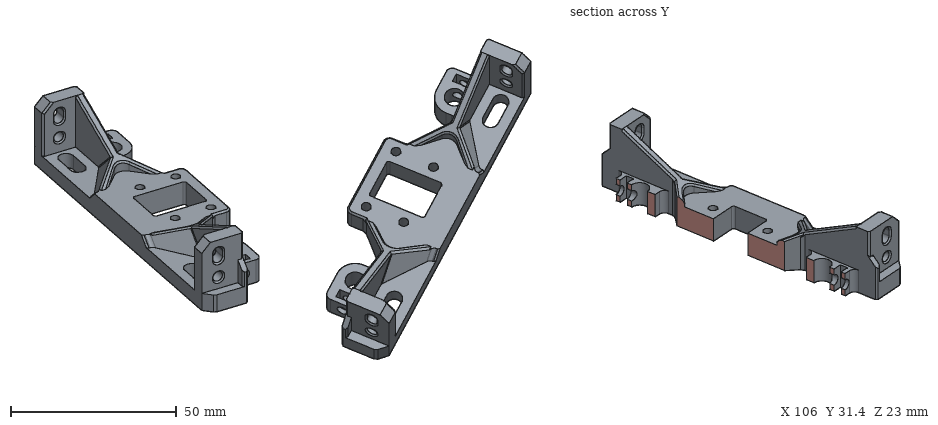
import cadquery as cq
import math

HALF_LENGTH = 53.0
DEPTH = 31.38
HEIGHT = 23.0
FLOOR_Z = 5.0
PLATE_Z = 8.0
EDGE_CHAMFER = 0.6
EDGE_TOLERANCE = 0.1

END_STEP = 3.0
WALL_OUTER_X = -HALF_LENGTH + END_STEP
WALL_THICKNESS = 5.0
WALL_INNER_X = WALL_OUTER_X + WALL_THICKNESS
WALL_BACK_Y = 14.5
WALL_CHAMFER = 3.0
STEP_Z = 6.0
LUG_FRONT_Y = 12.6
LUG_TOP_Z = 14.0

WALL_HOLE_DIA = 3.3
WALL_HOLE_Y = 5.85
WALL_HOLE_Z = 10.0
WALL_SLOT_Z = 17.5
WALL_SLOT_LENGTH = 5.3
WALL_HOLE_CHAMFER = 0.5

RIDGE_THICKNESS = 3.0
RIDGE_FRONT_Y = WALL_BACK_Y - RIDGE_THICKNESS
RIDGE_END_X = -14.6
RIDGE_SLOPE = (HEIGHT - PLATE_Z) / (RIDGE_END_X - WALL_INNER_X)
FLANK_BACK_X = -31.2
FLANK_FOOT_X = -17.5
FLANK_CORNER_Y = 1.8
FLANK_RADIUS = 2.0
FLANK_SLOPE = (RIDGE_FRONT_Y - FLANK_CORNER_Y) / (FLANK_FOOT_X - FLANK_BACK_X)
FLANK_OVERLAP = 1.5
FLANK_ROOT_CHAMFER = 0.25

PLATE_HALF_WIDTH = 14.5
PLATE_CORNER_RADIUS = 2.0
PLATE_DIAGONAL_Y = 24.65
CONCAVE_CHAMFER = 0.8
POCKET_MID_Y = 13.15
POCKET_APEX_X = -22.9
POCKET_RADIUS = 3.6
POCKET_CHAMFER = 0.5
WINDOW_WIDTH = 13.2
WINDOW_FRONT_Y = 8.9
WINDOW_BACK_Y = 27.3
WINDOW_RADIUS = 0.8
PLATE_HOLE_DIA = 2.9
PLATE_HOLE_X = 10.5
PLATE_HOLE_YS = (13.8, 26.3)

FLOOR_SLOT_X = -37.5
FLOOR_SLOT_Y = 5.85
FLOOR_SLOT_LENGTH = 12.0
FLOOR_SLOT_WIDTH = 5.0

EAR_OUTER_X = -44.0
EAR_INNER_X = -29.0
EAR_BACK_Y = 24.4
EAR_OUTER_RADIUS = 2.0
EAR_INNER_RADIUS = 6.0
EAR_ROOT_RADIUS = 2.0
ROD_DIA = 6.0
ROD_X = -35.0
ROD_Y = 18.4
NUT_SLOT_X = -41.1
NUT_SLOT_SIZE = (2.7, 5.8)
CLAMP_SCREW_DIA = 3.5
CLAMP_SCREW_Z = PLATE_Z / 2


def point_edge(x, y, z):
    """Selector for the edge whose middle is closest to a point."""
    return cq.selectors.NearestToPointSelector((x, y, z))


def prism(points, height, base_z=0.0):
    return cq.Workplane("XY").workplane(offset=base_z).polyline(points).close().extrude(height)


def side_profile(points, front_y, back_y):
    """Extrude an XZ outline between two Y positions."""
    plane = cq.Workplane("XZ", origin=(0, front_y, 0))
    return plane.polyline(points).close().extrude(front_y - back_y)


def block(x_range, y_range, z_range):
    """Box between two corners given as coordinate ranges."""
    (x0, x1), (y0, y1), (z0, z1) = x_range, y_range, z_range
    return cq.Workplane("XY").box(x1 - x0, y1 - y0, z1 - z0, centered=False).translate((x0, y0, z0))


def floor_and_wall():
    """Floor slab and end wall, with the outer step and the lug at its back corner."""
    diagonal = EDGE_CHAMFER / math.sqrt(2)
    body = prism(
        [
            (0, 0),
            (WALL_OUTER_X, 0),
            (-HALF_LENGTH + diagonal, END_STEP - diagonal),
            (-HALF_LENGTH, END_STEP + EDGE_CHAMFER),
            (-HALF_LENGTH, WALL_BACK_Y - EDGE_CHAMFER),
            (-HALF_LENGTH + EDGE_CHAMFER, WALL_BACK_Y),
            (0, WALL_BACK_Y),
        ],
        HEIGHT,
    )
    body = body.cut(block((WALL_INNER_X, 0), (0, WALL_BACK_Y), (FLOOR_Z, HEIGHT)))
    body = body.cut(block((-HALF_LENGTH, WALL_OUTER_X), (0, LUG_FRONT_Y), (STEP_Z, HEIGHT)))
    body = body.cut(lug_trim())
    body = body.faces("<Y").edges(">Z").chamfer(WALL_CHAMFER)

    inner_front_edges = cq.selectors.BoxSelector(
        (WALL_INNER_X - EDGE_TOLERANCE, -EDGE_TOLERANCE, FLOOR_Z + EDGE_TOLERANCE),
        (WALL_INNER_X + EDGE_TOLERANCE, WALL_CHAMFER, HEIGHT),
    )
    outer_back_edge = point_edge(WALL_OUTER_X, WALL_BACK_Y, (LUG_TOP_Z + HEIGHT) / 2)
    body = body.edges(inner_front_edges).chamfer(EDGE_CHAMFER)
    return body.edges(outer_back_edge).chamfer(EDGE_CHAMFER)


def lug_trim():
    """Material removed from the lug: above its sloping top and along its front edge."""
    slope = side_profile(
        [
            (WALL_OUTER_X, LUG_TOP_Z),
            (-HALF_LENGTH, LUG_TOP_Z - END_STEP),
            (-HALF_LENGTH, HEIGHT),
            (WALL_OUTER_X, HEIGHT),
        ],
        0,
        WALL_BACK_Y,
    )
    front_bevel = prism(
        [
            (-HALF_LENGTH, LUG_FRONT_Y),
            (-HALF_LENGTH + EDGE_CHAMFER, LUG_FRONT_Y),
            (-HALF_LENGTH, LUG_FRONT_Y + EDGE_CHAMFER),
        ],
        HEIGHT,
        STEP_Z,
    )
    return slope.union(front_bevel)


def roof():
    """Everything below the plate top and the sloping ridge line."""
    points = [
        (0, 0),
        (0, PLATE_Z),
        (RIDGE_END_X, PLATE_Z),
        (WALL_INNER_X, HEIGHT),
        (WALL_INNER_X, 0),
    ]
    return side_profile(points, 0, DEPTH)


def rib_flank():
    """Block leaning 45 degrees inwards; its left side is the sloped rib flank."""
    buried_x = FLANK_BACK_X - FLANK_OVERLAP / FLANK_SLOPE
    buried_y = RIDGE_FRONT_Y + FLANK_OVERLAP
    foot = cq.Workplane("XY", origin=(0, 0, FLOOR_Z)).polyline([
        (0, 0),
        (FLANK_FOOT_X + EDGE_CHAMFER, 0),
        (FLANK_FOOT_X, EDGE_CHAMFER),
        (FLANK_FOOT_X, FLANK_CORNER_Y),
        (buried_x, buried_y),
        (0, buried_y),
    ]).close()
    rise = HEIGHT - FLOOR_Z
    lean = cq.Solid.extrudeLinear(foot.wires().val(), [], cq.Vector(rise, 0, rise))
    rib = cq.Workplane(lean).intersect(roof())

    ridge_x = (FLANK_BACK_X + RIDGE_END_X) / 2
    ridge_z = PLATE_Z + RIDGE_SLOPE * (RIDGE_END_X - ridge_x)
    rib = rib.edges(point_edge(ridge_x, RIDGE_FRONT_Y / 2, ridge_z)).chamfer(EDGE_CHAMFER)
    half_rise = (PLATE_Z - FLOOR_Z) / 2
    corner = point_edge(FLANK_FOOT_X + half_rise, FLANK_CORNER_Y, FLOOR_Z + half_rise)
    rib = rib.edges(corner).fillet(FLANK_RADIUS)

    core_x = FLANK_FOOT_X + EDGE_CHAMFER + PLATE_Z - FLOOR_Z
    core = block((core_x, 0), (0, RIDGE_FRONT_Y), (0, PLATE_Z))
    return rib.union(core)


def ridge_and_plate():
    """Sloping gusset wall that widens into the servo plate, with bevelled upper edges."""
    root_x = -PLATE_HALF_WIDTH - (PLATE_DIAGONAL_Y - WALL_BACK_Y)
    body = prism(
        [
            (0, RIDGE_FRONT_Y),
            (WALL_INNER_X, RIDGE_FRONT_Y),
            (WALL_INNER_X, WALL_BACK_Y),
            (root_x, WALL_BACK_Y),
            (-PLATE_HALF_WIDTH, PLATE_DIAGONAL_Y),
            (-PLATE_HALF_WIDTH, DEPTH),
            (0, DEPTH),
        ],
        HEIGHT,
    )
    plate_corner = point_edge(-PLATE_HALF_WIDTH, DEPTH, HEIGHT / 2)
    body = body.edges(plate_corner).fillet(PLATE_CORNER_RADIUS).intersect(roof())

    upper_edges = cq.selectors.BoxSelector(
        (WALL_INNER_X + EDGE_TOLERANCE, 0, PLATE_Z - EDGE_TOLERANCE),
        (-EDGE_TOLERANCE, DEPTH + EDGE_TOLERANCE, HEIGHT - EDGE_TOLERANCE),
    )
    seam = point_edge(RIDGE_END_X, (RIDGE_FRONT_Y + PLATE_DIAGONAL_Y) / 2, PLATE_Z)
    body = body.edges(upper_edges - seam).chamfer(EDGE_CHAMFER)
    for x, y in ((root_x, WALL_BACK_Y), (-PLATE_HALF_WIDTH, PLATE_DIAGONAL_Y)):
        body = body.edges("|Z").edges(point_edge(x, y, PLATE_Z / 2)).chamfer(CONCAVE_CHAMFER)

    body = body.union(rib_flank())
    flank_root = point_edge(FLANK_BACK_X + PLATE_Z - FLOOR_Z, RIDGE_FRONT_Y, PLATE_Z)
    body = body.edges(flank_root).chamfer(FLANK_ROOT_CHAMFER)
    return cut_pocket(body)


def cut_pocket(body):
    """Sink the V-shaped pocket between the ribs to plate level and bevel its upper rim."""
    leg_x = (POCKET_APEX_X + POCKET_RADIUS * (1 - math.sqrt(0.5)) + RIDGE_END_X) / 2
    leg_offset = leg_x - POCKET_APEX_X
    leg_z = PLATE_Z + RIDGE_SLOPE * (RIDGE_END_X - leg_x)
    tip_x = POCKET_APEX_X + POCKET_RADIUS * (math.sqrt(2) - 1)
    tip_z = PLATE_Z + RIDGE_SLOPE * (RIDGE_END_X - tip_x)
    rim = (
        point_edge(leg_x, POCKET_MID_Y - leg_offset, leg_z)
        + point_edge(tip_x, POCKET_MID_Y, tip_z)
        + point_edge(leg_x, POCKET_MID_Y + leg_offset, leg_z)
    )
    return body.cut(pocket()).edges(rim).chamfer(POCKET_CHAMFER)


def pocket():
    reach = -POCKET_APEX_X
    points = [
        (POCKET_APEX_X, POCKET_MID_Y),
        (0, POCKET_MID_Y + reach),
        (0, POCKET_MID_Y - reach),
    ]
    return prism(points, HEIGHT, PLATE_Z).edges("|Z").edges("<X").fillet(POCKET_RADIUS)


def wall_hole(center_z, length):
    """Upright slot (or round hole when length is the diameter) with both mouths chamfered."""
    def cutter(growth, start_x, depth, taper):
        plane = cq.Workplane("YZ", origin=(start_x, WALL_HOLE_Y, center_z))
        width = WALL_HOLE_DIA + 2 * growth
        if length > WALL_HOLE_DIA:
            sketch = plane.slot2D(length + 2 * growth, width, 90)
        else:
            sketch = plane.circle(width / 2)
        return sketch.extrude(depth, taper=taper)

    outer_mouth = cutter(WALL_HOLE_CHAMFER, WALL_OUTER_X, WALL_HOLE_CHAMFER, 45)
    inner_mouth = cutter(WALL_HOLE_CHAMFER, WALL_INNER_X, -WALL_HOLE_CHAMFER, 45)
    return cutter(0, WALL_OUTER_X, WALL_THICKNESS, 0).union(outer_mouth).union(inner_mouth)


def ear():
    """Clamp ear behind the gusset with a rod hole, nut slot and cross screw hole."""
    body = block((EAR_OUTER_X, EAR_INNER_X), (WALL_BACK_Y, EAR_BACK_Y), (0, PLATE_Z))
    body = body.edges("|Z").edges(">Y").edges("<X").fillet(EAR_OUTER_RADIUS)
    body = body.edges("|Z").edges(">Y").edges(">X").fillet(EAR_INNER_RADIUS)
    for edge_x, direction in ((EAR_OUTER_X, -1), (EAR_INNER_X, 1)):
        body = body.union(ear_root(edge_x, direction))
    rod = cq.Workplane("XY").center(ROD_X, ROD_Y).circle(ROD_DIA / 2).extrude(PLATE_Z)
    nut_slot = cq.Workplane("XY").center(NUT_SLOT_X, ROD_Y).rect(*NUT_SLOT_SIZE).extrude(PLATE_Z)
    screw = (
        cq.Workplane("YZ", origin=(EAR_OUTER_X, ROD_Y, CLAMP_SCREW_Z))
        .circle(CLAMP_SCREW_DIA / 2).extrude(ROD_X - EAR_OUTER_X)
    )
    return body.cut(rod).cut(nut_slot).cut(screw)


def ear_root(edge_x, direction):
    """Concave fillet between one side of the ear and the gusset."""
    reach = EAR_ROOT_RADIUS * (1 - math.sqrt(0.5))
    return (
        cq.Workplane("XY").moveTo(edge_x, WALL_BACK_Y)
        .lineTo(edge_x, WALL_BACK_Y + EAR_ROOT_RADIUS)
        .threePointArc(
            (edge_x + direction * reach, WALL_BACK_Y + reach),
            (edge_x + direction * EAR_ROOT_RADIUS, WALL_BACK_Y),
        )
        .close().extrude(PLATE_Z)
    )


def plate_openings():
    depth = WINDOW_BACK_Y - WINDOW_FRONT_Y
    window = cq.Workplane("XY").center(0, WINDOW_FRONT_Y + depth / 2).rect(WINDOW_WIDTH, depth)
    window = window.extrude(PLATE_Z).edges("|Z").fillet(WINDOW_RADIUS)
    centers = [(side * PLATE_HOLE_X, y) for side in (-1, 1) for y in PLATE_HOLE_YS]
    holes = cq.Workplane("XY").pushPoints(centers).circle(PLATE_HOLE_DIA / 2).extrude(PLATE_Z)
    return window.union(holes)


def floor_slot():
    slot = cq.Workplane("XY").center(FLOOR_SLOT_X, FLOOR_SLOT_Y)
    return slot.slot2D(FLOOR_SLOT_LENGTH, FLOOR_SLOT_WIDTH).extrude(FLOOR_Z)


half = floor_and_wall().union(ridge_and_plate()).union(ear())
half = half.cut(floor_slot())
half = half.cut(wall_hole(WALL_HOLE_Z, WALL_HOLE_DIA)).cut(wall_hole(WALL_SLOT_Z, WALL_SLOT_LENGTH))
result = half.union(half.mirror("YZ")).cut(plate_openings())